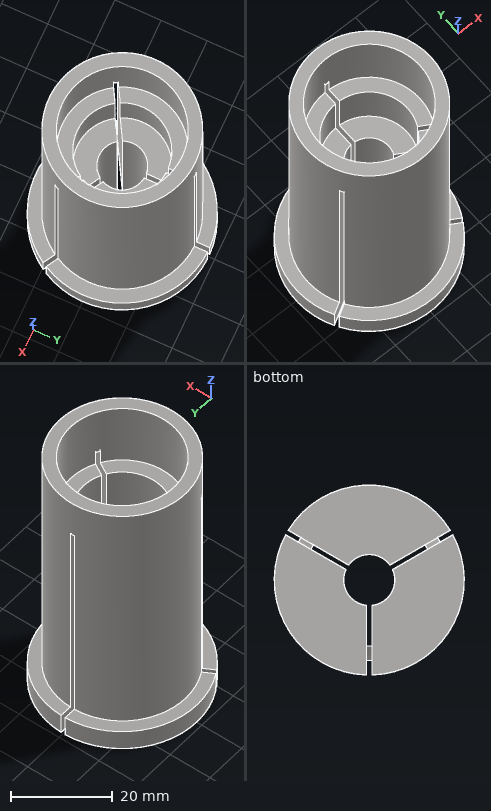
import cadquery as cq

total_height = 64.6
flange_diameter = 37.5
flange_height = 5.0
tube_diameter = 31.7

socket_diameter = 26.0
socket_depth = 15.0
cavity_diameter = 19.5
cavity_depth = 11.0
hole_diameter = 10.0

slot_count = 3
first_slot_angle = 90.0
slot_half_width = 0.5
slot_height = 55.55
slot_end_drop = 2.6
slot_end_radius = 12.9


def cylinder(diameter, bottom, top):
    """Upright cylinder on the Z axis between two heights."""
    return cq.Workplane("XY").workplane(offset=bottom).circle(diameter / 2).extrude(top - bottom)


def radial_slot(angle):
    """Slab from the axis out past the flange, its top curving down through the tube wall."""
    flange_radius = flange_diameter / 2
    wall_outside = tube_diameter / 2
    wall_inside = socket_diameter / 2
    inner_height = slot_height - slot_end_drop
    profile = (
        cq.Workplane("XZ")
        .lineTo(flange_radius, 0)
        .lineTo(flange_radius, slot_height)
        .lineTo(wall_outside, slot_height)
        .radiusArc((wall_inside, inner_height), -slot_end_radius)
        .lineTo(0, inner_height)
        .close()
    )
    slab = profile.extrude(slot_half_width, both=True)
    return slab.rotate((0, 0, 0), (0, 0, 1), angle)


sleeve = cylinder(flange_diameter, 0, flange_height)
sleeve = sleeve.union(cylinder(tube_diameter, 0, total_height))

socket_floor = total_height - socket_depth
cavity_floor = socket_floor - cavity_depth
sleeve = sleeve.cut(cylinder(socket_diameter, socket_floor, total_height))
sleeve = sleeve.cut(cylinder(cavity_diameter, cavity_floor, socket_floor))
sleeve = sleeve.cut(cylinder(hole_diameter, 0, cavity_floor))

for index in range(slot_count):
    sleeve = sleeve.cut(radial_slot(first_slot_angle + index * 360 / slot_count))

result = sleeve